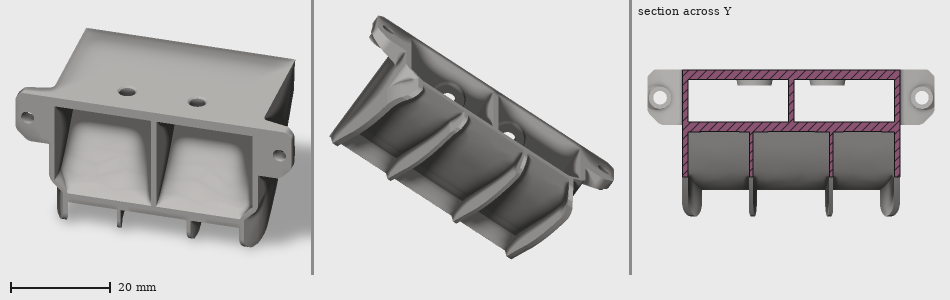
import cadquery as cq


half_length = 28.75
half_body = 21.8
body_depth = 27.2
body_height = 29.45
side_wall = 1.2
divider = 1.15
roof = 2.0
margin = 5.75

nose_start = (0, -26.95)
nose_middle = (0.7, -28.65)
nose_end = (1.95, -body_height)
back_start = (3.1, -29.15)
back_middle = (12.55, -22.55)
back_end = (20.95, -13.1)
back_knee = (26.05, -6.5)
lip_bottom = (26.75, -0.5)

floor_start = (0, -22.1)
floor_middle = (6.05, -18.2)
floor_end = (11.2, -13.2)
floor_top = (20.7, -roof)
floor_thickness = 2.05
floor_chamfer = 2.7

bend_front_x = 18.85
bend_middle = (20.95, 3.35)
bend_curve = (21.55, 5.05)
bend_end_y = 6.8
bend_thickness = 1.05
shoulder_top = -17.75
shoulder_curve = (21.5, -19.2)
shoulder_end = (20.7, -20.3)

rib_inner_x = 6.85
rib_thickness = 0.8
rib_flare = 0.75
rib_bend_y = 4.0

roof_hole_x = 7.3
roof_hole_y = 6.5
roof_hole_diameter = 3.3
roof_hole_chamfer = 0.35
roof_boss_top_radius = 3.6
roof_boss_end_radius = 3.4
roof_boss_drop = 1.15

ear_height = 11.1
ear_root_depth = 3.4
ear_tip_depth = 1.95
ear_top_chamfer = 1.3
ear_bottom_chamfer = 2.55
ear_top_round = 1.05
ear_bottom_round = 2.0
ear_blend_width = 1.1
ear_blend_middle = (22.1, 3.85)
ear_blend_depth = 4.8
ear_hole_x = 26.2
ear_hole_z = -5.65
ear_hole_diameter = 2.7
ear_boss_end = 3.5
ear_boss_radius = 2.25
ear_boss_foot_radius = 3.15
ear_boss_foot = 1.9
ear_boss_neck = 2.65


def both_sides(shape):
    """Return a right-hand shape together with its mirror image."""
    return shape.union(shape.mirror("YZ"))


def lowered(point):
    """Move a floor point to the underside of the floor."""
    return (point[0], point[1] - floor_thickness)


def side_solid(profile, x_start, x_end):
    """Extrude a (y, z) profile between two X positions."""
    return profile.extrude(x_end - x_start).translate((x_start, 0, 0))


def side_plane():
    """Start a profile whose points are (y, z)."""
    return cq.Workplane("YZ")


def outer_body():
    """Solid block with the curved back and rounded nose."""
    profile = (
        side_plane()
        .lineTo(*nose_start)
        .threePointArc(nose_middle, nose_end)
        .lineTo(*back_start)
        .threePointArc(back_middle, back_end)
        .lineTo(*back_knee)
        .lineTo(*lip_bottom)
        .lineTo(body_depth, 0)
        .close()
    )
    return side_solid(profile, -half_body, half_body)


def chamber():
    """Right-hand chamber, open at the front, with a chamfered lower outer corner."""
    inner = divider / 2
    outer = half_body - side_wall
    profile = (
        side_plane()
        .moveTo(-margin, -roof)
        .lineTo(-margin, floor_start[1])
        .lineTo(*floor_start)
        .spline([floor_middle, floor_end, floor_top], includeCurrent=True)
        .close()
    )
    opening = (
        cq.Workplane("XZ")
        .moveTo(inner, 0)
        .lineTo(outer, 0)
        .lineTo(outer, floor_start[1] + floor_chamfer)
        .lineTo(outer - floor_chamfer, floor_start[1])
        .lineTo(inner, floor_start[1])
        .close()
        .extrude(body_depth + margin, both=True)
    )
    return side_solid(profile, inner, outer).intersect(opening)


def bent_wall():
    """Full-height side wall whose front part bends inward."""
    back_y = body_depth + margin
    return (
        cq.Workplane("XY")
        .moveTo(bend_front_x, 0)
        .lineTo(*bend_middle)
        .threePointArc(bend_curve, (half_body, bend_end_y))
        .lineTo(half_body, back_y)
        .lineTo(half_body - side_wall, back_y)
        .lineTo(half_body - side_wall, bend_end_y)
        .threePointArc(
            (bend_curve[0] - side_wall, bend_curve[1]),
            (bend_middle[0] - side_wall, bend_middle[1]),
        )
        .lineTo(bend_front_x - bend_thickness, 0)
        .close()
        .extrude(-body_height - margin)
    )


def middle_rib():
    """Full-height rib that leans outward, then runs straight back."""
    back_y = body_depth + margin
    outer_x = rib_inner_x + rib_thickness
    return (
        cq.Workplane("XY")
        .moveTo(rib_inner_x, 0)
        .lineTo(outer_x, 0)
        .lineTo(outer_x + rib_flare, rib_bend_y)
        .lineTo(outer_x + rib_flare, back_y)
        .lineTo(rib_inner_x + rib_flare, back_y)
        .lineTo(rib_inner_x + rib_flare, rib_bend_y)
        .close()
        .extrude(-body_height - margin)
    )


def rear_hollow():
    """Space behind the floor and below the roof, less the walls and ribs crossing it."""
    profile = (
        side_plane()
        .moveTo(-margin, lowered(floor_start)[1])
        .lineTo(*lowered(floor_start))
        .spline([lowered(floor_middle), lowered(floor_end), lowered(floor_top)], includeCurrent=True)
        .lineTo(floor_top[0] + floor_thickness, -roof)
        .lineTo(body_depth + margin, -roof)
        .lineTo(body_depth + margin, -body_height - margin)
        .lineTo(-margin, -body_height - margin)
        .close()
    )
    hollow = side_solid(profile, -half_body, half_body)
    return hollow.cut(both_sides(bent_wall())).cut(both_sides(middle_rib()))


def corner_relief():
    """Material removed outside the bent wall and under the curved shoulder."""
    outside = (
        cq.Workplane("XY")
        .moveTo(bend_front_x, 0)
        .lineTo(*bend_middle)
        .threePointArc(bend_curve, (half_body, bend_end_y))
        .lineTo(half_body + margin, bend_end_y)
        .lineTo(half_body + margin, 0)
        .close()
        .extrude(-body_height - margin)
    )
    below_shoulder = (
        cq.Workplane("XZ")
        .moveTo(half_body + margin, shoulder_top)
        .lineTo(half_body, shoulder_top)
        .threePointArc(shoulder_curve, shoulder_end)
        .lineTo(bend_front_x, floor_start[1])
        .lineTo(bend_front_x, -body_height - margin)
        .lineTo(half_body + margin, -body_height - margin)
        .close()
        .extrude(-body_depth)
    )
    return outside.intersect(below_shoulder)


def roof_boss():
    """Tapered boss hanging below the roof around a hole."""
    return cq.Workplane(cq.Solid.makeCone(
        roof_boss_top_radius,
        roof_boss_end_radius,
        roof_boss_drop,
        cq.Vector(roof_hole_x, roof_hole_y, -roof),
        cq.Vector(0, 0, -1),
    ))


def roof_hole():
    """Through hole with a countersunk mouth on the top face."""
    radius = roof_hole_diameter / 2
    bore = (
        cq.Workplane("XY")
        .center(roof_hole_x, roof_hole_y)
        .circle(radius)
        .extrude(-roof - roof_boss_drop)
    )
    countersink = cq.Solid.makeCone(
        radius + roof_hole_chamfer,
        radius,
        roof_hole_chamfer,
        cq.Vector(roof_hole_x, roof_hole_y, 0),
        cq.Vector(0, 0, -1),
    )
    return bore.union(cq.Workplane(countersink))


def ear_corners(z_high, z_low):
    """Select the chamfer edges at the tip of the ear between two heights."""
    near_tip = cq.selectors.BoxSelector(
        (half_body + side_wall, -margin, z_high),
        (half_length + margin, ear_blend_depth + margin, z_low),
    )
    return cq.selectors.AndSelector(cq.selectors.ParallelDirSelector(cq.Vector(0, 1, 0)), near_tip)


def ear_boss():
    """Short round pad on the back of the ear, widening at its foot."""
    flare = cq.Solid.makeCone(
        ear_boss_foot_radius,
        ear_boss_radius,
        ear_boss_neck - ear_boss_foot,
        cq.Vector(ear_hole_x, ear_boss_foot, ear_hole_z),
        cq.Vector(0, 1, 0),
    )
    pad = cq.Solid.makeCylinder(
        ear_boss_radius,
        ear_boss_end,
        cq.Vector(ear_hole_x, 0, ear_hole_z),
        cq.Vector(0, 1, 0),
    )
    return cq.Workplane(flare).union(cq.Workplane(pad))


def ear():
    """Tapered mounting ear with a concave blend into the side wall, a pad and a hole."""
    root = half_body - side_wall / 2
    outline = (
        cq.Workplane("XZ")
        .moveTo(root, 0)
        .lineTo(half_length - ear_top_chamfer, 0)
        .lineTo(half_length, -ear_top_chamfer)
        .lineTo(half_length, -ear_height + ear_bottom_chamfer)
        .lineTo(half_length - ear_bottom_chamfer, -ear_height)
        .lineTo(root, -ear_height)
        .close()
        .extrude(-ear_blend_depth)
    )
    outline = outline.edges(ear_corners(margin, -ear_height / 2)).fillet(ear_top_round)
    outline = outline.edges(ear_corners(-ear_height / 2, -ear_height - margin)).fillet(ear_bottom_round)
    blend_end = half_body + ear_blend_width
    taper = (
        cq.Workplane("XY")
        .moveTo(root, 0)
        .lineTo(half_length, 0)
        .lineTo(half_length, ear_tip_depth)
        .lineTo(blend_end, ear_root_depth)
        .threePointArc(ear_blend_middle, (half_body, ear_blend_depth))
        .lineTo(root, ear_blend_depth)
        .close()
        .extrude(-ear_height)
    )
    hole = (
        cq.Workplane("XZ")
        .center(ear_hole_x, ear_hole_z)
        .circle(ear_hole_diameter / 2)
        .extrude(-ear_blend_depth)
    )
    return outline.intersect(taper.union(ear_boss())).cut(hole)


body = outer_body().cut(rear_hollow())
body = body.cut(both_sides(corner_relief()))
body = body.cut(both_sides(chamber()))
body = body.union(both_sides(roof_boss()))
body = body.cut(both_sides(roof_hole()))
result = body.union(both_sides(ear()))